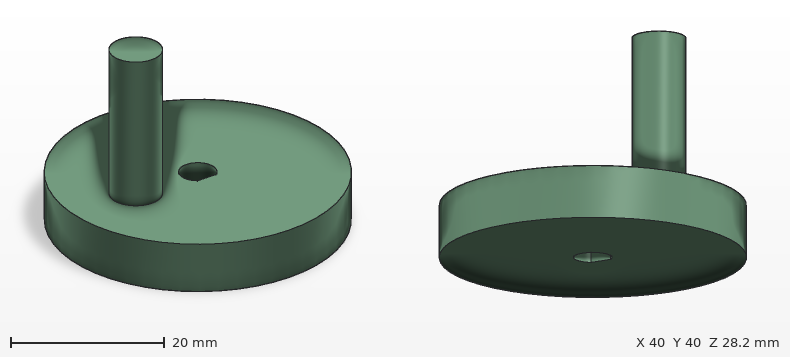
import cadquery as cq

disc_diameter = 40.0
disc_thickness = 7.0
total_height = 28.2

pin_diameter = 7.0
pin_offset = disc_diameter / 4

shaft_diameter = 5.0
shaft_flat_distance = 2.0


def make_disc():
    return cq.Workplane("XY").circle(disc_diameter / 2).extrude(disc_thickness)


def make_pin():
    pin = cq.Workplane("XY").center(0, -pin_offset).circle(pin_diameter / 2)
    return pin.extrude(total_height)


def make_shaft_hole():
    """D-shaped cutter through the disc, with its flat on the +X side."""
    radius = shaft_diameter / 2
    round_hole = cq.Workplane("XY").circle(radius).extrude(disc_thickness)
    flat_limit = (
        cq.Workplane("XY")
        .box(radius + shaft_flat_distance, shaft_diameter, disc_thickness, centered=(False, True, False))
        .translate((-radius, 0, 0))
    )
    return round_hole.intersect(flat_limit)


result = make_disc().union(make_pin()).cut(make_shaft_hole())